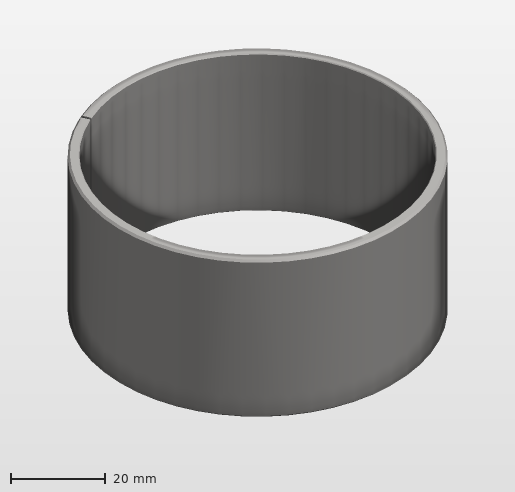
import cadquery as cq

outer_diameter = 80.0
wall_thickness = 2.5
length = 40.0
outer_chamfer = 0.5
inner_chamfer = 0.2
slit_angle = 1.0

outer_radius = outer_diameter / 2
inner_radius = outer_radius - wall_thickness
half_length = length / 2


def wall_section():
    """Wall section on the -X side, with chamfers on all four rims."""
    section = [
        (-inner_radius, -half_length + inner_chamfer),
        (-inner_radius - inner_chamfer, -half_length),
        (-outer_radius + outer_chamfer, -half_length),
        (-outer_radius, -half_length + outer_chamfer),
        (-outer_radius, half_length - outer_chamfer),
        (-outer_radius + outer_chamfer, half_length),
        (-inner_radius - inner_chamfer, half_length),
        (-inner_radius, half_length - inner_chamfer),
    ]
    return cq.Workplane("XZ").polyline(section).close()


result = wall_section().revolve(360 - slit_angle, (0, 0, 0), (0, 1, 0))